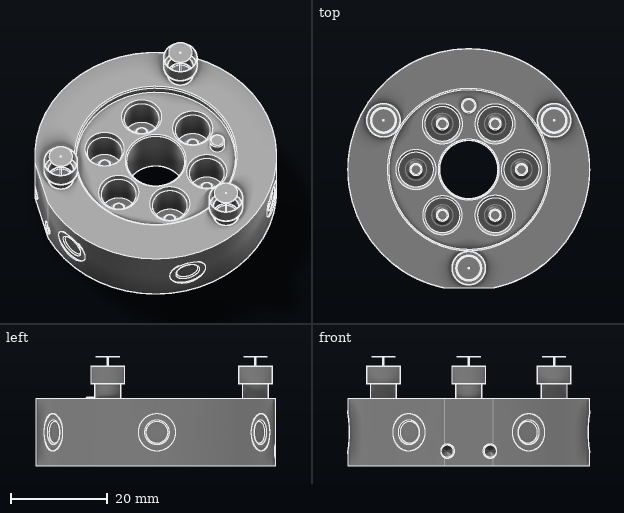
import cadquery as cq
import math

body_dia = 50.0
body_height = 14.0
flat_distance = 24.5

recess_dia = 33.0
recess_depth = 1.9
recess_floor = body_height - recess_depth
bore_dia = 12.0
edge_chamfer = 0.3

socket_count = 6
socket_circle_radius = 10.9
socket_dia = 7.2
socket_depth = 8.0
socket_floor = recess_floor - socket_depth
socket_mouth_width = 0.55
socket_mouth_depth = 0.65
curved_socket = 4
curved_mouth_width = 0.45
curved_mouth_depth = 1.25
curved_mouth_bulge = 0.1
post_base_dia = 4.4
post_dia = 2.5
post_tip_dia = 2.0
post_height = 2.0

pin_dia = 3.0
pin_y = 13.2
pin_height = 2.2
pin_chamfer = 0.25

port_count = 6
port_z = body_height / 2
port_seat_dia = 7.7
port_seat_distance = 24.7
port_mouth_dia = 5.1
port_floor_dia = 4.5
port_hollow_depth = 0.3

drill_dia = 2.5
drill_x = 4.45
drill_z = 3.1
drill_depth = 5.0
drill_chamfer = 0.25
drill_tip_angle = 118.0

cup_count = 3
cup_circle_radius = 20.35
cup_first_angle = 30.0
cup_wall = 0.1
neck_dia = 5.4
neck_height = 3.0
head_dia = 7.0
head_height = 3.65
lid_dia = 4.8
lid_thickness = 0.1
lid_top = 22.65
seat_taper_depth = 0.3
stem_dia = 0.3


def polar(radius, angle, z):
    """Point at a radius and angle (degrees) around the body axis."""
    turn = math.radians(angle)
    return cq.Vector(radius * math.cos(turn), radius * math.sin(turn), z)


def cone(large_dia, small_dia, height, base, direction):
    """Cone that narrows from large_dia at its base along the direction."""
    return cq.Workplane(obj=cq.Solid.makeCone(large_dia / 2, small_dia / 2, height, base, direction))


def cylinder(dia, height, base, direction):
    return cq.Workplane(obj=cq.Solid.makeCylinder(dia / 2, height, base, direction))


up = cq.Vector(0, 0, 1)
down = cq.Vector(0, 0, -1)


def ring_body():
    disc = cq.Workplane("XY").circle(body_dia / 2).extrude(body_height)
    beyond_flat = (
        cq.Workplane("XY")
        .center(0, -flat_distance - body_dia / 2)
        .rect(body_dia, body_dia)
        .extrude(body_height)
    )
    recess = cylinder(recess_dia, recess_depth, cq.Vector(0, 0, body_height), down)
    recess_edge = cone(recess_dia + 2 * edge_chamfer, recess_dia, edge_chamfer,
                       cq.Vector(0, 0, body_height), down)
    bore = cylinder(bore_dia, body_height, cq.Vector(0, 0, 0), up)
    bore_edge = cone(bore_dia + 2 * edge_chamfer, bore_dia, edge_chamfer,
                     cq.Vector(0, 0, recess_floor), down)
    return disc.cut(beyond_flat).cut(recess).cut(recess_edge).cut(bore).cut(bore_edge)


def socket(curved):
    """Material removed for one socket, on the body axis."""
    wall = socket_dia / 2
    mouth_width = curved_mouth_width if curved else socket_mouth_width
    mouth_depth = curved_mouth_depth if curved else socket_mouth_depth
    mouth = (wall + mouth_width, recess_floor)
    profile = (
        cq.Workplane("XZ")
        .moveTo(0, socket_floor)
        .lineTo(wall, socket_floor)
        .lineTo(wall, recess_floor - mouth_depth)
    )
    if curved:
        profile = profile.sagittaArc(mouth, -curved_mouth_bulge)
    else:
        profile = profile.lineTo(*mouth)
    return profile.lineTo(0, recess_floor).close().revolve(360, (0, 0), (0, 1))


def post():
    """Post on the socket floor, with a flared foot and a chamfered tip."""
    flare = (post_base_dia - post_dia) / 2
    tip_chamfer = (post_dia - post_tip_dia) / 2
    top = socket_floor + post_height
    return (
        cq.Workplane("XZ")
        .moveTo(0, socket_floor)
        .lineTo(post_base_dia / 2, socket_floor)
        .radiusArc((post_dia / 2, socket_floor + flare), flare)
        .lineTo(post_dia / 2, top - tip_chamfer)
        .lineTo(post_tip_dia / 2, top)
        .lineTo(0, top)
        .close()
        .revolve(360, (0, 0), (0, 1))
    )


def locating_pin():
    pin = cylinder(pin_dia, pin_height, cq.Vector(0, pin_y, recess_floor), up)
    return pin.faces(">Z").chamfer(pin_chamfer)


def port(angle):
    """Material removed for one port in the rim."""
    outward = polar(1, angle, 0)
    seat_center = polar(port_seat_distance, angle, port_z)
    seat = cylinder(port_seat_dia, body_dia / 2, seat_center, outward)
    hollow = cone(port_mouth_dia, port_floor_dia, port_hollow_depth, seat_center, outward * -1)
    return seat.union(hollow)


def drilled_hole(x):
    """Material removed for one pointed hole in the flat."""
    inward = cq.Vector(0, 1, 0)
    mouth = cq.Vector(x, -flat_distance, drill_z)
    tip_height = drill_dia / 2 / math.tan(math.radians(drill_tip_angle / 2))
    shaft = cylinder(drill_dia, drill_depth, mouth, inward)
    tip = cone(drill_dia, 0, tip_height, mouth + inward * drill_depth, inward)
    edge = cone(drill_dia + 2 * drill_chamfer, drill_dia, drill_chamfer, mouth, inward)
    return shaft.union(tip).union(edge)


def cup_shell(angle):
    """Thin-walled stepped cup: a neck on the body and a wider open head."""
    neck_base = polar(cup_circle_radius, angle, body_height)
    head_base = neck_base + up * neck_height
    neck = cylinder(neck_dia, neck_height, neck_base, up)
    head = cylinder(head_dia, head_height, head_base, up)
    neck_bore = cylinder(neck_dia - 2 * cup_wall, neck_height + cup_wall, neck_base, up)
    head_bore = cylinder(head_dia - 2 * cup_wall, head_height, head_base + up * cup_wall, up)
    return neck.union(head).cut(neck_bore).cut(head_bore)


def cup_seat(angle):
    """Tapered hollow removed from the body under a cup."""
    mouth = polar(cup_circle_radius, angle, body_height)
    return cone(neck_dia - 2 * cup_wall, lid_dia, seat_taper_depth, mouth, down)


def lid_on_stem(angle):
    """Lid of a cup, with the stem that carries it up from the tapered hollow."""
    stem_bottom = polar(cup_circle_radius, angle, body_height - seat_taper_depth)
    lid_bottom = polar(cup_circle_radius, angle, lid_top - lid_thickness)
    stem = cylinder(stem_dia, lid_bottom.z - stem_bottom.z, stem_bottom, up)
    lid = cylinder(lid_dia, lid_thickness, lid_bottom, up)
    return stem.union(lid)


result = ring_body()

for index in range(socket_count):
    center = polar(socket_circle_radius, index * 360 / socket_count, 0)
    result = result.cut(socket(index == curved_socket).translate(center))
    result = result.union(post().translate(center))

for index in range(port_count):
    result = result.cut(port(index * 360 / port_count))

for side in (-1, 1):
    result = result.cut(drilled_hole(side * drill_x))

result = result.union(locating_pin())

for index in range(cup_count):
    cup_angle = cup_first_angle + index * 360 / cup_count
    result = result.cut(cup_seat(cup_angle))
    result = result.union(cup_shell(cup_angle))
    result = result.union(lid_on_stem(cup_angle))

result = result.solids()